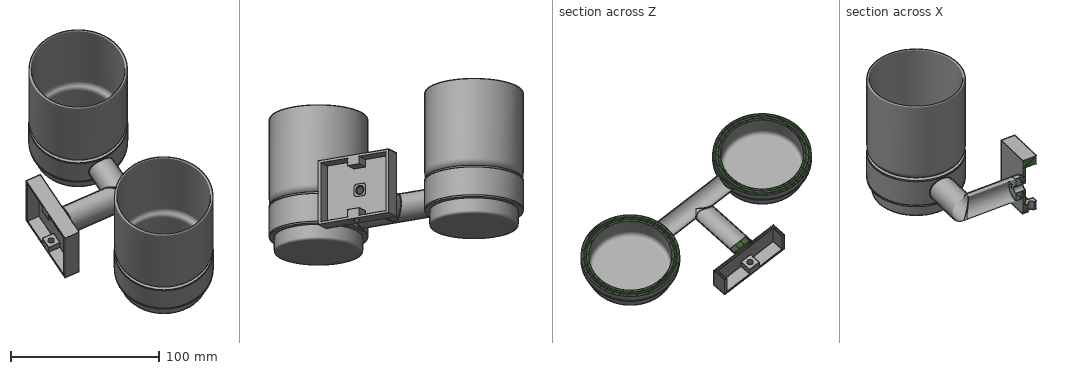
import cadquery as cq
import math


cup_spacing = 121.2
plate_front = 58.0

cup_radius = 33.3
foot_radius = 30.0
cup_wall = 1.7
foot_wall = 2.0
shoulder_radius = 5.0
inner_step_radius = 3.0
foot_edge_radius = 1.7
floor_fillet = 2.8
cup_bottom = -21.8
cup_top = 72.7

ring_radius = 33.5
ring_edge_radius = 0.5
liner_height = 22.0
flange_radius = 33.3
flange_thickness = 1.1
sleeve_radius = 31.6

tube_diameter = 19.0
tube_wall = 0.5

plate_width = 55.0
plate_height = 45.0
plate_depth = 11.0
side_wall = 2.3
end_wall = 1.7
back_wall = 2.3
lug_width = 8.8
lug_height = 5.3
lug_hole_diameter = 4.1
window_size = 8.8
window_corner = 2.0

plug_length = 4.5
plug_recess = 1.1
plug_hole_diameter = 5.3
plug_hole_chamfer = 0.5
plug_notch_width = 2.6
plug_notch_depth = 3.8

through_length = 3 * plate_front
tube_radius = tube_diameter / 2
tube_bore_radius = tube_radius - tube_wall
ring_height = liner_height - 2 * flange_thickness
shoulder_z = liner_height / 2
shoulder_inset = shoulder_radius - (cup_radius - foot_radius)
wall_bottom = shoulder_z + math.sqrt(shoulder_radius**2 - shoulder_inset**2)
plate_back_y = plate_depth - plate_front
cup_centers = [-cup_spacing / 2, cup_spacing / 2]


def make_cup(x):
    """Cup with a rounded lip, turned about its own vertical axis."""
    lip_radius = cup_wall / 2
    lip_z = cup_top - lip_radius
    inner_radius = cup_radius - cup_wall
    inner_foot_radius = foot_radius - foot_wall
    floor_z = cup_bottom + cup_wall

    hollow_radius = shoulder_radius - cup_wall
    hollow_x = inner_radius - hollow_radius
    step_x = inner_foot_radius + inner_step_radius
    center_distance = hollow_radius + inner_step_radius
    step_z = wall_bottom - math.sqrt(center_distance**2 - (step_x - hollow_x) ** 2)
    hollow_share = hollow_radius / center_distance
    tangent_point = (
        hollow_x + hollow_share * (step_x - hollow_x),
        wall_bottom + hollow_share * (step_z - wall_bottom),
    )

    profile = (
        cq.Workplane("XZ")
        .moveTo(0, cup_bottom)
        .lineTo(foot_radius - foot_edge_radius, cup_bottom)
        .radiusArc((foot_radius, cup_bottom + foot_edge_radius), -foot_edge_radius)
        .lineTo(foot_radius, shoulder_z)
        .radiusArc((cup_radius, wall_bottom), -shoulder_radius)
        .lineTo(cup_radius, lip_z)
        .threePointArc((cup_radius - lip_radius, cup_top), (inner_radius, lip_z))
        .lineTo(inner_radius, wall_bottom)
        .radiusArc(tangent_point, hollow_radius)
        .radiusArc((inner_foot_radius, step_z), -inner_step_radius)
        .lineTo(inner_foot_radius, floor_z + floor_fillet)
        .radiusArc((inner_foot_radius - floor_fillet, floor_z), floor_fillet)
        .lineTo(0, floor_z)
        .close()
    )
    return profile.revolve(360, (0, 0, 0), (0, 1, 0)).translate((x, 0, 0))


def make_liner(x):
    """Sleeve around a cup foot, with a flange above and below the ring."""
    liner = cq.Workplane("XY").cylinder(liner_height, flange_radius)
    groove = cq.Workplane("XY").cylinder(ring_height, flange_radius)
    groove = groove.cut(cq.Workplane("XY").cylinder(ring_height, sleeve_radius))
    bore = cq.Workplane("XY").cylinder(liner_height, foot_radius)
    return liner.cut(groove).cut(bore).translate((x, 0, 0))


def make_ring(x):
    """Plain ring between the liner flanges, with rounded outer edges."""
    ring = cq.Workplane("XY").cylinder(ring_height, ring_radius)
    ring = ring.faces("|Z").edges().fillet(ring_edge_radius)
    bore = cq.Workplane("XY").cylinder(ring_height, sleeve_radius)
    return ring.cut(bore).translate((x, 0, 0))


def bar(radius):
    """Round bar along X between the two cup axes."""
    return cq.Workplane("YZ", origin=(-cup_spacing / 2, 0, 0)).circle(radius).extrude(cup_spacing)


def post(radius):
    """Round bar along -Y from the crossbar axis to the back of the plate."""
    return cq.Workplane("XZ").circle(radius).extrude(-plate_back_y)


def make_crossbar():
    """Tube ending on the outside of both rings, with an opening into the stem."""
    tube = bar(tube_radius).cut(bar(tube_bore_radius)).cut(post(tube_bore_radius))
    for x in cup_centers:
        tube = tube.cut(cq.Workplane("XY").cylinder(ring_height, ring_radius).translate((x, 0, 0)))
    return tube


def make_stem():
    """Tube from the crossbar to the plate, its end shaped to fit the crossbar."""
    return post(tube_radius).cut(post(tube_bore_radius)).cut(bar(tube_radius))


def square_key(length):
    """Square bar with rounded corners, from the back of the plate towards the wall."""
    return (
        cq.Workplane("XZ", origin=(0, plate_back_y, 0))
        .rect(window_size, window_size)
        .extrude(length)
        .edges("|Y")
        .fillet(window_corner)
    )


def make_plate():
    """Box with two lugs and a rounded square window behind the stem."""
    plate = (
        cq.Workplane("XZ", origin=(0, plate_back_y, 0))
        .rect(plate_width, plate_height)
        .extrude(plate_depth)
    )
    cavity_width = plate_width - 2 * side_wall
    cavity_height = plate_height - 2 * end_wall
    cavity = (
        cq.Workplane("XZ", origin=(0, plate_back_y - back_wall, 0))
        .rect(cavity_width, cavity_height)
        .extrude(plate_depth - back_wall)
    )
    lugs = cavity.intersect(cq.Workplane("XY").box(lug_width, through_length, plate_height))
    lugs = lugs.cut(cq.Workplane("XY").box(lug_width, through_length, cavity_height - 2 * lug_height))
    lug_hole_y = plate_back_y - back_wall - (plate_depth - back_wall) / 2
    lug_hole = (
        cq.Workplane("XY", origin=(0, lug_hole_y, -plate_height / 2))
        .circle(lug_hole_diameter / 2)
        .extrude(plate_height / 2)
    )
    return plate.cut(cavity).union(lugs).cut(square_key(back_wall)).cut(lug_hole)


def make_plug():
    """Notched disc with a square key that fills the plate window, drilled through."""
    disc = (
        cq.Workplane("XZ", origin=(0, plate_back_y + plug_recess + plug_length, 0))
        .circle(tube_bore_radius)
        .extrude(plug_length)
    )
    notch_bar = cq.Workplane("XY").box(2 * tube_radius, through_length, plug_notch_width)
    core = cq.Workplane("XY").box(2 * (tube_bore_radius - plug_notch_depth), through_length, plug_notch_width)
    key = square_key(back_wall + plug_recess).translate((0, plug_recess, 0))
    hole_radius = plug_hole_diameter / 2
    hole = post(hole_radius).translate((0, -plate_depth, 0))
    countersink = (
        cq.Workplane("XZ", origin=(0, plate_back_y - back_wall, 0))
        .circle(hole_radius + plug_hole_chamfer)
        .workplane(offset=-plug_hole_chamfer)
        .circle(hole_radius)
        .loft()
    )
    return disc.cut(notch_bar.cut(core)).union(key).cut(hole).cut(countersink)


cups = [make_cup(x) for x in cup_centers]
liners = [make_liner(x) for x in cup_centers]
rings = [make_ring(x) for x in cup_centers]
crossbar = make_crossbar()
stem = make_stem()
plate = make_plate()
plug = make_plug()

result = cq.Compound.makeCompound(
    [
        *[cup.val() for cup in cups],
        *[liner.val() for liner in liners],
        *[ring.val() for ring in rings],
        crossbar.val(),
        stem.val(),
        plate.val(),
        plug.val(),
    ]
)